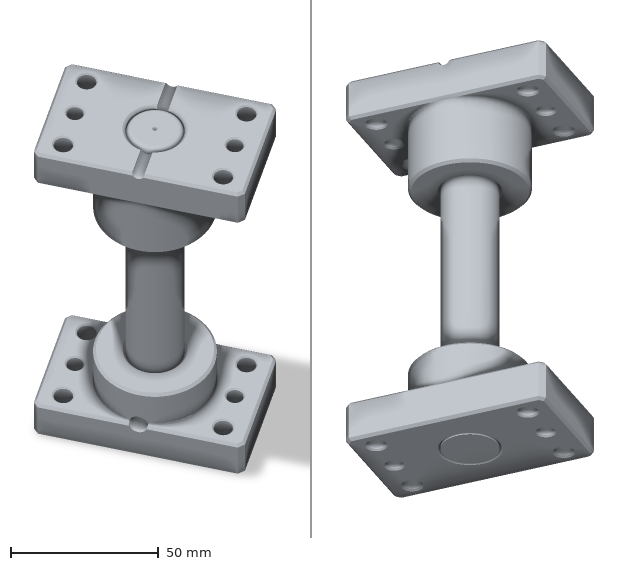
import cadquery as cq

TOTAL_HEIGHT = 140.1

PLATE_LENGTH = 74.0
PLATE_WIDTH = 44.0
PLATE_THICKNESS = 15.0
CORNER_CHAMFER = 2.0
EDGE_BREAK = 1.0

BOSS_DIAMETER = 41.9
BOSS_FILLET = 1.0
LOWER_BOSS_HEIGHT = 15.0
UPPER_BOSS_HEIGHT = 25.0

HOLE_SPACING_X = 56.0
HOLE_SPACING_Y = 15.0
BOLT_HOLE_DIAMETER = 6.6
DOWEL_HOLE_DIAMETER = 5.9
BOLT_HOLE_BREAK = 0.5
DOWEL_HOLE_BREAK = 0.5

POST_DIAMETER = 20.0
POST_FILLET = 2.5
CENTRE_DIAMETER = 2.0
CENTRE_DEPTH = CENTRE_DIAMETER / 2
BORE_CHAMFER = 1.0

PORT_DIAMETER = 6.5
GROOVE_DIAMETER = 4.2


def chamfered_cutter(diameter, chamfer, length):
    """Cylinder along +Z from the origin that widens by the chamfer at both ends."""
    radius = diameter / 2
    wide = radius + chamfer
    return (
        cq.Workplane("XZ")
        .moveTo(0, 0)
        .lineTo(wide, 0)
        .lineTo(radius, chamfer)
        .lineTo(radius, length - chamfer)
        .lineTo(wide, length)
        .lineTo(0, length)
        .close()
        .revolve(360, (0, 0), (0, 1))
    )


def plate_with_boss(boss_height):
    """Plate with its outer face at Z = 0 and a filleted boss rising from its inner face."""
    plate = (
        cq.Workplane("XY")
        .box(PLATE_LENGTH, PLATE_WIDTH, PLATE_THICKNESS, centered=(True, True, False))
        .edges("|Z")
        .chamfer(CORNER_CHAMFER)
        .faces("|Z")
        .edges()
        .chamfer(EDGE_BREAK)
    )
    boss = (
        cq.Workplane("XY")
        .circle(BOSS_DIAMETER / 2)
        .extrude(PLATE_THICKNESS + boss_height)
        .faces(">Z")
        .edges()
        .chamfer(EDGE_BREAK)
    )
    root_reach = BOSS_DIAMETER / 2 + EDGE_BREAK / 2
    root_edge = cq.selectors.BoxSelector(
        (-root_reach, -root_reach, PLATE_THICKNESS - EDGE_BREAK / 2),
        (root_reach, root_reach, PLATE_THICKNESS + EDGE_BREAK / 2),
        boundingbox=True,
    )
    return plate.union(boss).edges(root_edge).fillet(BOSS_FILLET)


def flange(boss_height):
    """Plate and boss with the post bore, four bolt holes and two dowel holes."""
    body = plate_with_boss(boss_height)
    body = body.cut(chamfered_cutter(POST_DIAMETER, BORE_CHAMFER, PLATE_THICKNESS + boss_height))
    bolt_hole = chamfered_cutter(BOLT_HOLE_DIAMETER, BOLT_HOLE_BREAK, PLATE_THICKNESS)
    dowel_hole = chamfered_cutter(DOWEL_HOLE_DIAMETER, DOWEL_HOLE_BREAK, PLATE_THICKNESS)
    for side in (-1, 1):
        x = side * HOLE_SPACING_X / 2
        body = body.cut(dowel_hole.translate((x, 0, 0)))
        for row in (-1, 1):
            body = body.cut(bolt_hole.translate((x, row * HOLE_SPACING_Y, 0)))
    return body


def lower_flange():
    """Flange with a radial port from its -Y side into the bore, centred on the inner plate face."""
    port = (
        cq.Workplane("XZ", origin=(0, 0, PLATE_THICKNESS))
        .circle(PORT_DIAMETER / 2)
        .extrude(PLATE_WIDTH / 2)
    )
    return flange(LOWER_BOSS_HEIGHT).cut(port)


def upper_flange():
    """Flange turned over, with a half-round oil groove across its outer face."""
    groove = (
        cq.Workplane("XZ", origin=(0, PLATE_WIDTH / 2, 0))
        .moveTo(-GROOVE_DIAMETER / 2, 0)
        .threePointArc((0, GROOVE_DIAMETER / 2), (GROOVE_DIAMETER / 2, 0))
        .close()
        .extrude(PLATE_WIDTH)
    )
    body = flange(UPPER_BOSS_HEIGHT).cut(groove)
    return body.rotate((0, 0, 0), (1, 0, 0), 180).translate((0, 0, TOTAL_HEIGHT))


def guide_post():
    """Round post with a rounded top end and a conical centre mark."""
    post = (
        cq.Workplane("XY")
        .circle(POST_DIAMETER / 2)
        .extrude(TOTAL_HEIGHT)
        .faces(">Z")
        .edges()
        .fillet(POST_FILLET)
    )
    centre_mark = cq.Workplane(
        cq.Solid.makeCone(
            0, CENTRE_DIAMETER / 2, CENTRE_DEPTH, pnt=cq.Vector(0, 0, TOTAL_HEIGHT - CENTRE_DEPTH)
        )
    )
    return post.cut(centre_mark)


lower = lower_flange()
upper = upper_flange()
post = guide_post()

result = cq.Compound.makeCompound([lower.val(), upper.val(), post.val()])